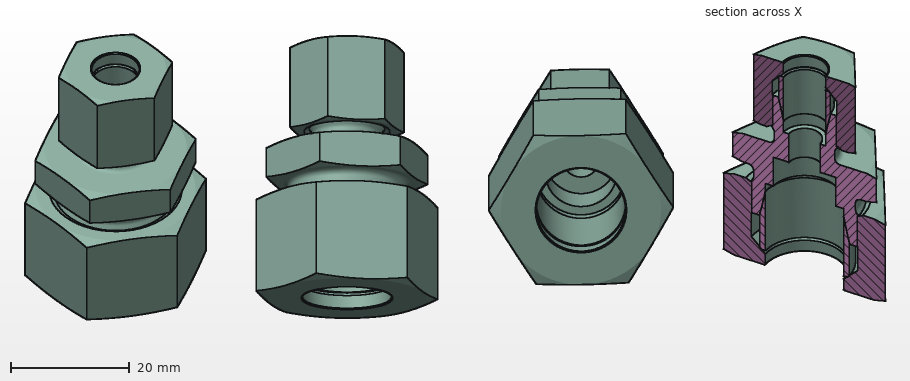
import cadquery as cq
import math


NUT_GAP = 3.0
FLANGE_FLATS = 24.0
FLANGE_HEIGHT = 6.0
HEX_CHAMFER_ANGLE = math.radians(15)
STUB_LENGTH = 10.0
UNDERCUT_DEPTH = 2.3
UNDERCUT_RADIUS = 1.0
UNDERCUT_STRAIGHT_END = 2.3
UNDERCUT_RUNOUT_ANGLE = math.radians(30)
CORE_DEPTH = 1.62
CONE_ANGLE = math.radians(12)
SOCKET_DEPTH = 7.0
MOUTH_CLEARANCE = 0.5
MOUTH_ANGLE = math.radians(60)
LIP_DEPTH = 2.4
RIM_CHAMFER = 0.2
RING_TOP_WIDTH = 0.6

LARGE = dict(direction=-1, tube=15.0, bore=12.0, thread=22.0, seat=17.3, nut_flats=27.0, nut_length=17.0)
SMALL = dict(direction=1, tube=8.0, bore=6.0, thread=14.0, seat=10.0, nut_flats=17.0, nut_length=14.5)
ENDS = [LARGE, SMALL]

FLANGE_BOTTOM = LARGE["nut_length"] + NUT_GAP
FLANGE_MIDDLE = FLANGE_BOTTOM + FLANGE_HEIGHT / 2


def on_end(end, solid):
    """Move a solid built upward from the flange middle at Z = 0 onto its end of the fitting."""
    if end["direction"] < 0:
        solid = solid.mirror("XY")
    return solid.translate((0, 0, FLANGE_MIDDLE))


def revolve_profile(profile):
    """Turn a closed profile of radius and height about the Z axis."""
    return profile.close().revolve(360, (0, 0), (0, 1))


def chamfered_hexagon(flats, bottom, height):
    """Hexagon with corners on the Y axis, both ends turned down to the inscribed circle."""
    corner_radius = flats / 2 / math.cos(math.pi / 6)
    prism = (
        cq.Workplane("XY", origin=(0, 0, bottom))
        .polygon(6, 2 * corner_radius)
        .extrude(height)
        .rotate((0, 0, 0), (0, 0, 1), 30)
    )
    drop = (corner_radius - flats / 2) * math.tan(HEX_CHAMFER_ANGLE)
    envelope = revolve_profile(
        cq.Workplane("XZ")
        .moveTo(0, bottom)
        .lineTo(flats / 2, bottom)
        .lineTo(corner_radius, bottom + drop)
        .lineTo(corner_radius, bottom + height - drop)
        .lineTo(flats / 2, bottom + height)
        .lineTo(0, bottom + height)
    )
    return prism.intersect(envelope)


def core_radius(end):
    """Radius where the stub and the hole of its nut meet."""
    return (end["thread"] - CORE_DEPTH) / 2


FLANGE_FACE = FLANGE_HEIGHT / 2
NUT_START = FLANGE_FACE + NUT_GAP
STUB_END = FLANGE_FACE + STUB_LENGTH
TUBE_STOP = STUB_END - SOCKET_DEPTH


def mouth_radius(end):
    """Radius of the conical nut mouth at the face of the nut."""
    return (end["thread"] + MOUTH_CLEARANCE) / 2


def mouth_bottom(end):
    """Height where the conical nut mouth has narrowed to the core radius."""
    return NUT_START + (mouth_radius(end) - core_radius(end)) / math.tan(MOUTH_ANGLE)


def seat_tip(end):
    """Height at which the conical seat has narrowed to the tube diameter."""
    return STUB_END - (end["seat"] - end["tube"]) / 2 / math.tan(CONE_ANGLE)


def lip_height(end):
    """Height of the inner edge of the tube hole in the nut."""
    return NUT_START + end["nut_length"] - LIP_DEPTH


def make_stub(end):
    """Stub with a rounded undercut next to the flange, then a collar that seats in the nut mouth."""
    stub_radius = core_radius(end)
    neck_radius = (end["thread"] - UNDERCUT_DEPTH) / 2
    arc_center = neck_radius + UNDERCUT_RADIUS
    root_center = FLANGE_FACE + UNDERCUT_RADIUS
    runout_center = FLANGE_FACE + UNDERCUT_STRAIGHT_END

    def arc_point(center_height, angle):
        return (
            arc_center - UNDERCUT_RADIUS * math.cos(angle),
            center_height + UNDERCUT_RADIUS * math.sin(angle),
        )

    runout_start = arc_point(runout_center, UNDERCUT_RUNOUT_ANGLE)
    runout_slope = math.tan(UNDERCUT_RUNOUT_ANGLE)
    mouth_slope = math.tan(MOUTH_ANGLE)
    gap_at_start = mouth_radius(end) - (runout_start[1] - NUT_START) * mouth_slope - runout_start[0]
    runout_height = gap_at_start / (runout_slope + mouth_slope)
    collar_edge = (runout_start[0] + runout_height * runout_slope, runout_start[1] + runout_height)
    return revolve_profile(
        cq.Workplane("XZ")
        .lineTo(arc_center, 0)
        .lineTo(arc_center, FLANGE_FACE)
        .threePointArc(arc_point(root_center, -math.pi / 4), (neck_radius, root_center))
        .lineTo(neck_radius, runout_center)
        .threePointArc(arc_point(runout_center, UNDERCUT_RUNOUT_ANGLE / 2), runout_start)
        .lineTo(*collar_edge)
        .lineTo(stub_radius, mouth_bottom(end))
        .lineTo(stub_radius, STUB_END)
        .lineTo(0, STUB_END)
    )


def make_socket(end):
    """Space inside a stub: flow bore, tube socket and conical seat."""
    return revolve_profile(
        cq.Workplane("XZ")
        .lineTo(end["bore"] / 2, 0)
        .lineTo(end["bore"] / 2, TUBE_STOP)
        .lineTo(end["tube"] / 2, TUBE_STOP)
        .lineTo(end["tube"] / 2, seat_tip(end))
        .lineTo(end["seat"] / 2, STUB_END)
        .lineTo(0, STUB_END)
    )


def make_body():
    """Hexagon flange with a stub on each end and a stepped bore through all."""
    body = chamfered_hexagon(FLANGE_FLATS, FLANGE_BOTTOM, FLANGE_HEIGHT)
    for end in ENDS:
        body = body.union(on_end(end, make_stub(end)))
    for end in ENDS:
        body = body.cut(on_end(end, make_socket(end)))
    return body


def make_nut(end):
    """Union nut: conical mouth, thread hole, 45 degree shoulder onto the ring, and chamfered tube hole."""
    tube_radius = end["tube"] / 2
    hole_radius = core_radius(end)
    lip = lip_height(end)
    nut_end = NUT_START + end["nut_length"]
    shoulder_start = lip - (hole_radius - tube_radius)
    hole = revolve_profile(
        cq.Workplane("XZ")
        .moveTo(0, NUT_START)
        .lineTo(mouth_radius(end), NUT_START)
        .lineTo(hole_radius, mouth_bottom(end))
        .lineTo(hole_radius, shoulder_start)
        .lineTo(tube_radius, lip)
        .lineTo(tube_radius, nut_end - RIM_CHAMFER)
        .lineTo(tube_radius + RIM_CHAMFER, nut_end)
        .lineTo(0, nut_end)
    )
    nut = chamfered_hexagon(end["nut_flats"], NUT_START, end["nut_length"]).cut(hole)
    return on_end(end, nut)


def make_cutting_ring(end):
    """Ring that fills the conical seat and bears on the 45 degree shoulder of the nut."""
    tube_radius = end["tube"] / 2
    seat_radius = end["seat"] / 2
    lip = lip_height(end)
    ring = revolve_profile(
        cq.Workplane("XZ")
        .moveTo(tube_radius, seat_tip(end))
        .lineTo(seat_radius, STUB_END)
        .lineTo(seat_radius, lip - (seat_radius - tube_radius))
        .lineTo(tube_radius + RING_TOP_WIDTH, lip - RING_TOP_WIDTH)
        .lineTo(tube_radius, lip - RING_TOP_WIDTH)
    )
    return on_end(end, ring)


body = make_body()
nuts = [make_nut(end) for end in ENDS]
cutting_rings = [make_cutting_ring(end) for end in ENDS]

result = cq.Compound.makeCompound([part.solids().val() for part in [body, *nuts, *cutting_rings]])